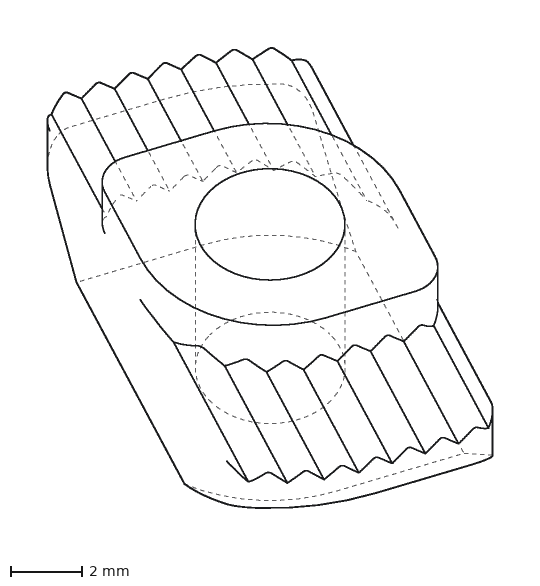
import math

import cadquery as cq

length = 16.0
width = 7.7
height = 6.0

crest_height = 4.5
straight_wall_height = 3.0
corner_radius = 1.0

tooth_pitch = 1.0
crest_radius = 0.1
rim_radius = 0.05

collar_arc_radius = 4.0
collar_corner_radius = 1.0
bore_diameter = 4.2

half_length = length / 2
half_width = width / 2


def point_on_circle(center, radius, direction):
    """Point at the given radius from center, along the given direction."""
    reach = math.hypot(*direction)
    return (center[0] + radius * direction[0] / reach, center[1] + radius * direction[1] / reach)


def wing_outline():
    """Plan outline: each end has a plain rounded corner and a side swept by the turning circle."""
    blend_y = half_width - corner_radius
    blend_x = math.sqrt((half_length - corner_radius) ** 2 - blend_y**2)
    blend_center = (blend_x, -blend_y)
    sweep_angle = math.atan2(-blend_y, blend_x)
    blend_middle_angle = (sweep_angle - math.pi / 2) / 2
    corner_x = half_length - corner_radius

    blend_start = (blend_x, -half_width)
    blend_middle = point_on_circle(
        blend_center, corner_radius, (math.cos(blend_middle_angle), math.sin(blend_middle_angle))
    )
    sweep_start = point_on_circle((0, 0), half_length, blend_center)
    sweep_middle = point_on_circle(
        (0, 0), half_length, (math.cos(sweep_angle / 2), math.sin(sweep_angle / 2))
    )
    sweep_end = (half_length, 0)
    corner_start = (half_length, blend_y)
    corner_middle = point_on_circle((corner_x, blend_y), corner_radius, (1, 1))
    corner_end = (corner_x, half_width)

    def half_turned(point, sign):
        return (sign * point[0], sign * point[1])

    outline = cq.Workplane("XY").moveTo(*half_turned(corner_end, -1))
    for sign in (1, -1):
        outline = (
            outline.lineTo(*half_turned(blend_start, sign))
            .threePointArc(half_turned(blend_middle, sign), half_turned(sweep_start, sign))
            .threePointArc(half_turned(sweep_middle, sign), half_turned(sweep_end, sign))
            .lineTo(*half_turned(corner_start, sign))
            .threePointArc(half_turned(corner_middle, sign), half_turned(corner_end, sign))
        )
    return outline.close()


def underside_envelope():
    """Space above the 45 degree underside: planar by the square ends, conical by the rounded ends."""
    floor_half_length = half_length - straight_wall_height
    profile = [
        (0, 0),
        (floor_half_length, 0),
        (half_length, straight_wall_height),
        (half_length, height),
        (0, height),
    ]
    envelope = cq.Workplane("XZ").polyline(profile).close().revolve(360, (0, 0), (0, 1))
    for sign in (1, -1):
        mirrored = [(sign * x, z) for x, z in profile]
        envelope = envelope.union(
            cq.Workplane("XZ").polyline(mirrored).close().extrude(-sign * half_width)
        )
    return envelope


def serrated_envelope():
    """Cross-section with 45 degree teeth and rounded crests, run along the whole length."""
    valley_count = 2 * round(half_width / tooth_pitch)
    outer_valley_y = (valley_count - 1) * tooth_pitch / 2
    tooth_depth = tooth_pitch / 2 - crest_radius * (math.sqrt(2) - 1)
    valley_z = crest_height - tooth_depth

    rim_y = half_width - rim_radius
    rim_z = valley_z + (rim_y - outer_valley_y) - rim_radius * math.sqrt(2)
    rim_flank_y, rim_flank_z = point_on_circle((rim_y, rim_z), rim_radius, (-1, 1))
    rim_middle_angle = math.radians(135 / 2)
    rim_middle_y, rim_middle_z = point_on_circle(
        (rim_y, rim_z), rim_radius, (math.cos(rim_middle_angle), math.sin(rim_middle_angle))
    )

    crest_half_width = crest_radius / math.sqrt(2)
    crest_tangent_z = valley_z + tooth_pitch / 2 - crest_half_width

    section = (
        cq.Workplane("YZ", origin=(-half_length, 0, 0))
        .moveTo(-half_width, 0)
        .lineTo(-half_width, rim_z)
        .threePointArc((-rim_middle_y, rim_middle_z), (-rim_flank_y, rim_flank_z))
        .lineTo(-outer_valley_y, valley_z)
    )
    for index in range(1, valley_count):
        valley_y = index * tooth_pitch - outer_valley_y
        crest_y = valley_y - tooth_pitch / 2
        section = (
            section.lineTo(crest_y - crest_half_width, crest_tangent_z)
            .threePointArc((crest_y, crest_height), (crest_y + crest_half_width, crest_tangent_z))
            .lineTo(valley_y, valley_z)
        )
    section = (
        section.lineTo(rim_flank_y, rim_flank_z)
        .threePointArc((rim_middle_y, rim_middle_z), (half_width, rim_z))
        .lineTo(half_width, 0)
        .close()
    )
    return section.extrude(length)


def collar():
    """Square collar with two opposite corners swept by large arcs and the other two lightly rounded."""
    block = cq.Workplane("XY").rect(width, width).extrude(height)
    for along, radius in (((1, -1, 0), collar_arc_radius), ((1, 1, 0), collar_corner_radius)):
        for sign in (1, -1):
            direction = cq.Vector(*along) * sign
            block = block.edges("|Z").edges(cq.selectors.DirectionMinMaxSelector(direction)).fillet(radius)
    return block


def make_part():
    wings = wing_outline().extrude(crest_height)
    wings = wings.intersect(underside_envelope()).intersect(serrated_envelope())
    bore = cq.Workplane("XY").circle(bore_diameter / 2).extrude(height)
    return wings.union(collar()).cut(bore)


result = make_part()